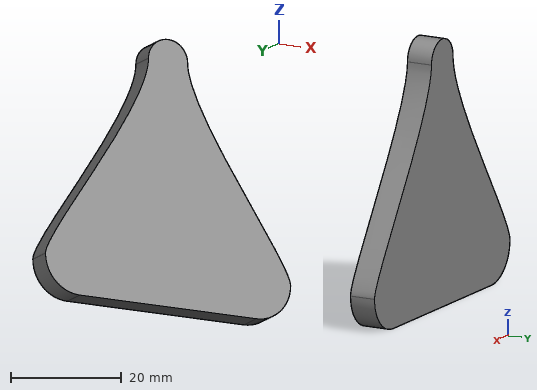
import cadquery as cq
import math

width = 50.0
height = 50.0
thickness = 5.0
tip_radius = 4.0
corner_radius = 7.0

half_width = width / 2
tip_center_z = height - tip_radius
corner_center_x = half_width - corner_radius
corner_diagonal = corner_radius * math.sqrt(0.5)

lower_arm = 4.25
upper_arm = 9.25


def mirrored(points):
    """Reflect points about the vertical centre line, reversing their order."""
    return [(-x, z) for x, z in reversed(points)]


right_flank = [
    (half_width, corner_radius),
    (half_width, corner_radius + lower_arm),
    (tip_radius, tip_center_z - upper_arm),
    (tip_radius, tip_center_z),
]
left_flank = mirrored(right_flank)

profile = (
    cq.Workplane("XZ", origin=(0, thickness / 2, 0))
    .moveTo(-corner_center_x, 0)
    .lineTo(corner_center_x, 0)
    .threePointArc(
        (corner_center_x + corner_diagonal, corner_radius - corner_diagonal),
        right_flank[0],
    )
    .bezier(right_flank)
    .threePointArc((0, height), left_flank[0])
    .bezier(left_flank)
    .threePointArc(
        (-corner_center_x - corner_diagonal, corner_radius - corner_diagonal),
        (-corner_center_x, 0),
    )
    .close()
)

result = profile.extrude(thickness)